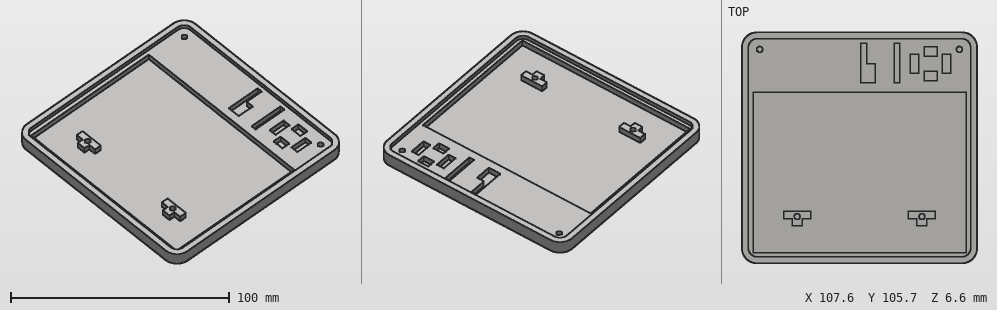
import cadquery as cq

length = 107.6
width = 105.7
height = 6.6
corner_radius = 7.0
wall = 3.0

recess_depth = 2.0
pocket_depth = 3.0
ledge_z = height - recess_depth
floor_z = ledge_z - pocket_depth

pocket_left = -48.6
pocket_right = 48.9
pocket_front = -48.0
pocket_back = 25.5

hole_diameter = 2.7
ledge_hole_x = 45.6
ledge_hole_y = 45.0

support_x = 28.5
support_back = -28.9
support_bar_length = 12.3
support_bar_width = 3.5
support_stem_width = 4.5
support_depth = 6.6
support_hole_y = -31.4

slot_back = 47.7
slot_length = 18.0
slot_width = 2.7
stepped_slot_left = 0.5
straight_slot_left = 15.8
foot_width = 6.7
foot_length = 8.7

button_x = 32.5
button_y = 38.4
side_well_offset = 7.3
side_well_width = 4.0
side_well_length = 8.7
end_well_offset = 5.6
end_well_width = 5.9
end_well_length = 4.3


def block(left, front, size_x, size_y, bottom, top):
    """Box given by its left front corner, its plan size and its Z range."""
    return (
        cq.Workplane("XY", origin=(left, front, bottom))
        .rect(size_x, size_y, centered=False)
        .extrude(top - bottom)
    )


def well(left, front, size_x, size_y):
    """Cutter from the ledge down to the pocket floor."""
    return block(left, front, size_x, size_y, floor_z, ledge_z)


def centred_well(x, y, size_x, size_y):
    return well(x - size_x / 2, y - size_y / 2, size_x, size_y)


def screw_hole(x, y):
    return cq.Workplane("XY", origin=(x, y, floor_z)).circle(hole_diameter / 2).extrude(pocket_depth)


def support(x):
    """T-shaped support whose top is level with the ledge."""
    bar_front = support_back - support_bar_width
    stem_front = support_back - support_depth
    bar = well(x - support_bar_length / 2, bar_front, support_bar_length, support_bar_width)
    stem = well(x - support_stem_width / 2, stem_front, support_stem_width, support_depth)
    return bar.union(stem).cut(screw_hole(x, support_hole_y))


def rounded_block(inset, bottom, top):
    """Block following the tray outline at a constant inset."""
    return (
        cq.Workplane("XY", origin=(0, 0, bottom))
        .rect(length - 2 * inset, width - 2 * inset)
        .extrude(top - bottom)
        .edges("|Z")
        .fillet(corner_radius - inset)
    )


result = rounded_block(0, 0, height).cut(rounded_block(wall, ledge_z, height))
result = result.cut(
    well(pocket_left, pocket_front, pocket_right - pocket_left, pocket_back - pocket_front)
)

slot_front = slot_back - slot_length
for slot_left in (stepped_slot_left, straight_slot_left):
    result = result.cut(well(slot_left, slot_front, slot_width, slot_length))
result = result.cut(well(stepped_slot_left, slot_front, foot_width, foot_length))

for side in (-1, 1):
    side_well_x = button_x + side * side_well_offset
    end_well_y = button_y + side * end_well_offset
    result = result.cut(centred_well(side_well_x, button_y, side_well_width, side_well_length))
    result = result.cut(centred_well(button_x, end_well_y, end_well_width, end_well_length))
    result = result.cut(screw_hole(side * ledge_hole_x, ledge_hole_y))
    result = result.union(support(side * support_x))